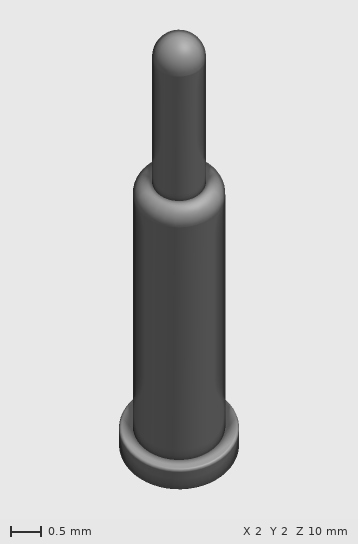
import cadquery as cq

total_height = 10.0

flange_diameter = 2.0
flange_height = 0.5
flange_edge_radius = 0.05

barrel_diameter = 1.54
barrel_top = 6.5
barrel_edge_radius = 0.3

plunger_diameter = 0.9
plunger_nose_radius = plunger_diameter / 2


def make_flange():
    disc = cq.Workplane("XY").circle(flange_diameter / 2).extrude(flange_height)
    return disc.edges().fillet(flange_edge_radius)


def make_barrel():
    barrel = cq.Workplane("XY").circle(barrel_diameter / 2).extrude(barrel_top)
    return barrel.faces(">Z").edges().fillet(barrel_edge_radius)


def make_plunger():
    nose_base = total_height - plunger_nose_radius
    shank = cq.Workplane("XY").circle(plunger_diameter / 2).extrude(nose_base)
    nose = cq.Workplane("XY").sphere(plunger_nose_radius).translate((0, 0, nose_base))
    return shank.union(nose)


result = make_flange().union(make_barrel()).union(make_plunger())